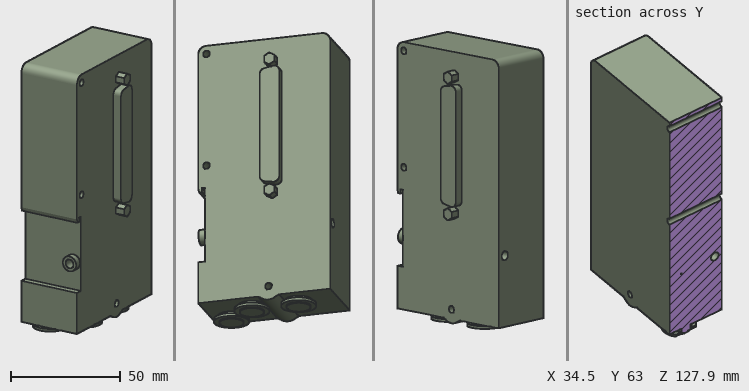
import cadquery as cq
import math

BODY_THICKNESS = 30.0
BODY_WIDTH = 63.0
BODY_HEIGHT = 124.5
TOP_CORNER_RADIUS = 4.0
FRONT_Y = -BODY_WIDTH / 2

RECESS_BOTTOM_Z = 19.9
RECESS_TOP_Z = 55.7
RECESS_DEPTH = 3.3
LIP_INNER_DEPTH = 1.9
LIP_TIP_DEPTH = 0.5
LIP_SHOULDER_Z = 55.5
LIP_DROP = 2.0

BUSHING_DIAMETER = 7.2
BUSHING_BORE = 4.2
BUSHING_X = 26.0
BUSHING_Z = 33.2

MOUNT_HOLE_DIAMETER = 3.2
LUG_HOLE_Y = 2.1
LUG_HOLE_Z = 4.5
SIDE_HOLE_Y = -27.5
MOUNT_HOLES = [(SIDE_HOLE_Y, 120.5), (SIDE_HOLE_Y, 66.3), (LUG_HOLE_Y, LUG_HOLE_Z)]
LUG_DROP = 2.0
LUG_HALF_WIDTH = 5.0
LUG_FLANK_ANGLE = 30.0

CONNECTOR_Y = 3.9
CONNECTOR_Z = 81.5
SHELL_LENGTH = 57.3
SHELL_WIDTH = 9.3
SHELL_PROJECTION = 4.1
SHELL_CORNER_RADIUS = 2.6
SHELL_END_ANGLE = 10.0
JACKSCREW_SPACING = 63.5
JACKSCREW_ACROSS_FLATS = 5.0
JACKSCREW_PROJECTION = 4.5

CAP_CENTRES = [(9.5, -22.0), (19.9, -9.0), (19.9, 13.3)]
CAP_NECK_DIAMETER = 12.2
CAP_FLANGE_DIAMETER = 16.0
CAP_END_DIAMETER = 11.2
CAP_NECK_DEPTH = 1.6
CAP_FLANGE_DEPTH = 2.9
CAP_TOTAL_DEPTH = 3.42


def disc_below(x, y, diameter, top_depth, bottom_depth):
    """Disc between two depths below the bottom face."""
    plane = cq.Workplane("XY", origin=(x, y, -top_depth))
    return plane.circle(diameter / 2).extrude(top_depth - bottom_depth)


def make_body():
    recess_floor_y = FRONT_Y + RECESS_DEPTH
    lip_inner_y = FRONT_Y + LIP_INNER_DEPTH
    lip_bottom_z = RECESS_TOP_Z - LIP_DROP
    profile = [
        (-FRONT_Y, 0),
        (-FRONT_Y, BODY_HEIGHT),
        (FRONT_Y, BODY_HEIGHT),
        (FRONT_Y, LIP_SHOULDER_Z),
        (FRONT_Y + LIP_TIP_DEPTH, lip_bottom_z),
        (lip_inner_y, lip_bottom_z),
        (lip_inner_y, RECESS_TOP_Z),
        (recess_floor_y, RECESS_TOP_Z),
        (recess_floor_y, RECESS_BOTTOM_Z),
        (FRONT_Y, RECESS_BOTTOM_Z),
        (FRONT_Y, 0),
    ]
    block = cq.Workplane("YZ").polyline(profile).close().extrude(BODY_THICKNESS)
    return block.edges("|X and >Z").fillet(TOP_CORNER_RADIUS)


def make_lug():
    """Lug under the bottom face: two sloping flanks joined by a tangent arc."""
    flank = math.radians(LUG_FLANK_ANGLE)
    apex_drop = LUG_HALF_WIDTH * math.tan(flank)
    radius = (apex_drop - LUG_DROP) / (1 / math.cos(flank) - 1)
    tangent_y = radius * math.sin(flank)
    tangent_z = tangent_y * math.tan(flank) - apex_drop
    face = cq.Workplane("YZ").center(LUG_HOLE_Y, 0).moveTo(-LUG_HALF_WIDTH, 0)
    outline = face.lineTo(-tangent_y, tangent_z)
    outline = outline.threePointArc((0, -LUG_DROP), (tangent_y, tangent_z))
    outline = outline.lineTo(LUG_HALF_WIDTH, 0).close()
    return outline.extrude(BODY_THICKNESS)


def make_bushing():
    face = cq.Workplane("XZ", origin=(BUSHING_X, FRONT_Y, BUSHING_Z))
    return face.circle(BUSHING_DIAMETER / 2).extrude(-RECESS_DEPTH)


def make_connector_shell():
    """D-shaped shell, shorter on its -Y side."""
    half_width = SHELL_WIDTH / 2
    long_half = SHELL_LENGTH / 2
    short_half = long_half - SHELL_WIDTH * math.tan(math.radians(SHELL_END_ANGLE))
    outline = [
        (-half_width, -short_half),
        (half_width, -long_half),
        (half_width, long_half),
        (-half_width, short_half),
    ]
    face = cq.Workplane("YZ", origin=(BODY_THICKNESS, CONNECTOR_Y, CONNECTOR_Z))
    shell = face.polyline(outline).close().extrude(SHELL_PROJECTION)
    return shell.edges("|X").fillet(SHELL_CORNER_RADIUS)


def make_jackscrew(z):
    """Hexagonal post with corners pointing up and down."""
    across_corners = JACKSCREW_ACROSS_FLATS / math.cos(math.pi / 6)
    face = cq.Workplane("YZ", origin=(BODY_THICKNESS, CONNECTOR_Y, z))
    post = face.transformed(rotate=(0, 0, 90)).polygon(6, across_corners)
    return post.extrude(JACKSCREW_PROJECTION)


def make_cap(x, y):
    neck = disc_below(x, y, CAP_NECK_DIAMETER, 0, CAP_NECK_DEPTH)
    flange = disc_below(x, y, CAP_FLANGE_DIAMETER, CAP_NECK_DEPTH, CAP_FLANGE_DEPTH)
    end = disc_below(x, y, CAP_END_DIAMETER, CAP_FLANGE_DEPTH, CAP_TOTAL_DEPTH)
    return neck.union(flange).union(end)


def make_mount_holes():
    holes = cq.Workplane("YZ").pushPoints(MOUNT_HOLES)
    return holes.circle(MOUNT_HOLE_DIAMETER / 2).extrude(BODY_THICKNESS)


def make_bushing_bore():
    face = cq.Workplane("XZ", origin=(BUSHING_X, FRONT_Y, BUSHING_Z))
    return face.circle(BUSHING_BORE / 2).extrude(-BODY_WIDTH)


part = make_body().union(make_lug()).union(make_bushing()).union(make_connector_shell())
for side in (-1, 1):
    part = part.union(make_jackscrew(CONNECTOR_Z + side * JACKSCREW_SPACING / 2))
for cap_x, cap_y in CAP_CENTRES:
    part = part.union(make_cap(cap_x, cap_y))

result = part.cut(make_mount_holes()).cut(make_bushing_bore())